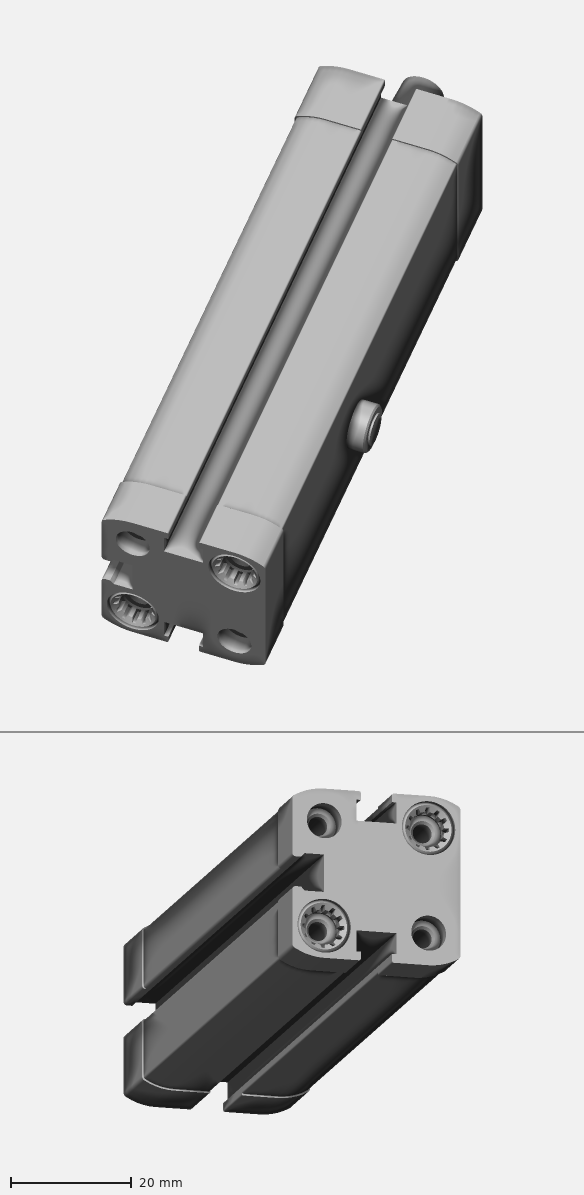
import cadquery as cq
import math


CAP_SIZE = 29.0
CAP_STEP = 0.3
BARREL_SIZE = CAP_SIZE - 2 * CAP_STEP
TOTAL_LENGTH = 113.4
ROD_LENGTH = 10.7
HOUSING_LENGTH = TOTAL_LENGTH - ROD_LENGTH
REAR_CAP_LENGTH = 8.6
FRONT_CAP_LENGTH = 11.3

HOLE_PITCH = 18.0
FLAT_HALF_WIDTH = HOLE_PITCH / 2
CORNER_RADIUS = 10.0
CAP_BLEND = 0.8
BARREL_BLEND = 0.4

SLOT_OPENING = 5.4
SLOT_WIDTH = 6.9
SLOT_DEPTH = 5.1
SLOT_LIP = 1.5
SLOT_BEVEL = 0.0
SLOT_ROUNDING = 0.3
SIDE_SLOT_OPENING = 5.1
SIDE_SLOT_WIDTH = 6.4
SIDE_SLOT_DEPTH = 5.5
SIDE_SLOT_LIP = 1.5
SIDE_SLOT_BEVEL = (SIDE_SLOT_WIDTH - SIDE_SLOT_OPENING) / 2
SIDE_SLOT_ROUNDING = 0.6

THREAD_BORE = 3.24
THREAD_MOUTH = 4.13
MOUNT_BORE = 6.0
MOUNT_DEPTH = 3.5

RECESS_DIAMETER = 9.2
RECESS_DEPTH = 0.9
HEAD_SETBACK = 0.2
HEAD_CREST = 8.0
COUNTERSINK_DEPTH = 0.8
SPLINE_ROOT = 7.3
SPLINE_COUNT = 12
SPLINE_DEPTH = 3.0
SPLINE_MOUTH_WIDTH = 1.0
SPLINE_ROOT_WIDTH = 0.55
SPLINE_OVERLAP = 0.3

ROD_DIAMETER = 8.0
ROD_TIP_DIAMETER = 7.4
ROD_TIP_LENGTH = 4.85
WRENCH_SIZE = 7.0
FLAT_DEPTH = (ROD_DIAMETER - WRENCH_SIZE) / 2
FLAT_LENGTH = 4.9
FLAT_MARGIN = 0.02

STUD_DIAMETER = 8.5
STUD_FACE_DIAMETER = 5.6
TOTAL_WIDTH = 32.25
STUD_REACH = TOTAL_WIDTH - CAP_SIZE / 2
STUD_FACE_HEIGHT = 0.35
STUD_CHAMFER = 0.3
STUD_POSITION = 43.45


def along_y(y):
    """Workplane across the cylinder at position y: local x is X, local y is Z, normal is -Y."""
    return cq.Workplane("XZ", origin=(0, y, 0))


def profile_block(size, radius, blend, y_start, length):
    """Block with flat sides and large rounded corners that are tangent to its top and bottom."""
    half = size / 2
    arc_centre = half - radius
    arc_run = half - FLAT_HALF_WIDTH
    side = arc_centre + math.sqrt(radius**2 - arc_run**2)
    half_angle = (math.pi / 2 - math.acos(arc_run / radius)) / 2
    mid_x = FLAT_HALF_WIDTH + radius * math.sin(half_angle)
    mid_z = arc_centre + radius * math.cos(half_angle)
    return (
        along_y(y_start)
        .moveTo(-FLAT_HALF_WIDTH, half)
        .lineTo(FLAT_HALF_WIDTH, half)
        .threePointArc((mid_x, mid_z), (half, side))
        .lineTo(half, -side)
        .threePointArc((mid_x, -mid_z), (FLAT_HALF_WIDTH, -half))
        .lineTo(-FLAT_HALF_WIDTH, -half)
        .threePointArc((-mid_x, -mid_z), (-half, -side))
        .lineTo(-half, side)
        .threePointArc((-mid_x, mid_z), (-FLAT_HALF_WIDTH, half))
        .close()
        .extrude(-length)
        .edges("|Y and (>X or <X)")
        .fillet(blend)
    )


def slot_cutter(size, opening, width, depth, lip, bevel, rounding):
    """Full-length cutter for a slot in the top of a section, with rounded mouth edges."""
    top = size / 2
    narrow = opening / 2
    wide = width / 2
    bottom = CAP_SIZE / 2 - depth
    ceiling = CAP_SIZE / 2 - lip
    return (
        along_y(0)
        .moveTo(-wide, bottom)
        .lineTo(wide, bottom)
        .lineTo(wide, ceiling - bevel)
        .lineTo(narrow, ceiling)
        .lineTo(narrow, top - rounding)
        .radiusArc((narrow + rounding, top), rounding)
        .lineTo(-narrow - rounding, top)
        .radiusArc((-narrow, top - rounding), rounding)
        .lineTo(-narrow, ceiling)
        .lineTo(-wide, ceiling - bevel)
        .close()
        .extrude(-HOUSING_LENGTH)
    )


def section(size, radius, blend, y_start, length):
    """One stretch of the housing with its three sensor slots."""
    top_slot = slot_cutter(size, SLOT_OPENING, SLOT_WIDTH, SLOT_DEPTH, SLOT_LIP, SLOT_BEVEL, SLOT_ROUNDING)
    side_slot = slot_cutter(
        size, SIDE_SLOT_OPENING, SIDE_SLOT_WIDTH, SIDE_SLOT_DEPTH,
        SIDE_SLOT_LIP, SIDE_SLOT_BEVEL, SIDE_SLOT_ROUNDING,
    ).rotate((0, 0, 0), (0, 1, 0), -90)
    block = profile_block(size, radius, blend, y_start, length)
    return block.cut(top_slot).cut(top_slot.mirror("XY")).cut(side_slot)


def mounting_hole():
    """Stepped hole on the Y axis."""
    bore = along_y(0).circle(MOUNT_BORE / 2).extrude(-MOUNT_DEPTH)
    thread = along_y(0).circle(THREAD_BORE / 2).extrude(-HOUSING_LENGTH)
    mouth_depth = (THREAD_MOUTH - THREAD_BORE) / 2
    mouth = (
        along_y(MOUNT_DEPTH)
        .circle(THREAD_MOUTH / 2)
        .workplane(offset=-mouth_depth)
        .circle(THREAD_BORE / 2)
        .loft()
    )
    return bore.union(thread).union(mouth)


def screw_socket():
    """Everything removed around a mounting hole to leave the rim of a splined screw head."""
    wall = RECESS_DIAMETER / 2
    crest = HEAD_CREST / 2
    recess = (
        cq.Workplane("XY")
        .lineTo(wall, 0)
        .lineTo(wall, RECESS_DEPTH)
        .lineTo(crest, HEAD_SETBACK)
        .lineTo(MOUNT_BORE / 2, HEAD_SETBACK + COUNTERSINK_DEPTH)
        .lineTo(0, HEAD_SETBACK + COUNTERSINK_DEPTH)
        .close()
        .revolve(360, (0, 0, 0), (0, 1, 0))
    )
    root = SPLINE_ROOT / 2
    mouth = MOUNT_BORE / 2 - SPLINE_OVERLAP
    groove = (
        along_y(0)
        .moveTo(mouth, -SPLINE_MOUTH_WIDTH / 2)
        .lineTo(root, -SPLINE_ROOT_WIDTH / 2)
        .lineTo(root, SPLINE_ROOT_WIDTH / 2)
        .lineTo(mouth, SPLINE_MOUTH_WIDTH / 2)
        .close()
        .extrude(-SPLINE_DEPTH)
    )
    socket = recess
    spacing = 360 / SPLINE_COUNT
    for i in range(SPLINE_COUNT):
        socket = socket.union(groove.rotate((0, 0, 0), (0, 1, 0), spacing * i))
    return socket


def stud_disc(x, thickness):
    """Disc of the stud diameter, on the stud axis, standing on the plane at x."""
    return cq.Workplane("YZ", origin=(x, STUD_POSITION, 0)).circle(STUD_DIAMETER / 2).extrude(thickness)


def make_housing():
    front_start = HOUSING_LENGTH - FRONT_CAP_LENGTH
    barrel_length = front_start - REAR_CAP_LENGTH
    body = section(BARREL_SIZE, CORNER_RADIUS - CAP_STEP, BARREL_BLEND, REAR_CAP_LENGTH, barrel_length)
    body = body.union(section(CAP_SIZE, CORNER_RADIUS, CAP_BLEND, 0, REAR_CAP_LENGTH))
    body = body.union(section(CAP_SIZE, CORNER_RADIUS, CAP_BLEND, front_start, FRONT_CAP_LENGTH))
    body = body.union(stud_disc(BARREL_SIZE / 2, CAP_STEP))

    hole = mounting_hole()
    socket = screw_socket()
    for x_side in (-1, 1):
        for z_side in (-1, 1):
            place = (x_side * HOLE_PITCH / 2, 0, z_side * HOLE_PITCH / 2)
            body = body.cut(hole.translate(place))
            if x_side == z_side:
                body = body.cut(socket.translate(place))
    return body


def make_rod():
    radius = ROD_DIAMETER / 2
    taper_start = TOTAL_LENGTH - ROD_TIP_LENGTH
    rod = (
        cq.Workplane("XY")
        .moveTo(0, HOUSING_LENGTH)
        .lineTo(radius, HOUSING_LENGTH)
        .lineTo(radius, taper_start)
        .lineTo(ROD_TIP_DIAMETER / 2, TOTAL_LENGTH)
        .lineTo(0, TOTAL_LENGTH)
        .close()
        .revolve(360, (0, 0, 0), (0, 1, 0))
    )
    flat_start = taper_start - FLAT_MARGIN
    flat_end = flat_start - FLAT_LENGTH
    flat = (
        cq.Workplane("XY")
        .moveTo(radius + FLAT_DEPTH, flat_start + FLAT_DEPTH)
        .lineTo(radius - FLAT_DEPTH, flat_start - FLAT_DEPTH)
        .lineTo(radius - FLAT_DEPTH, flat_end + FLAT_DEPTH)
        .lineTo(radius + FLAT_DEPTH, flat_end - FLAT_DEPTH)
        .close()
        .extrude(radius, both=True)
    )
    return rod.cut(flat).cut(flat.mirror("YZ"))


def make_stud():
    base = CAP_SIZE / 2
    shoulder = STUD_REACH - STUD_FACE_HEIGHT
    return (
        stud_disc(base, shoulder - base)
        .faces(">X")
        .chamfer(STUD_CHAMFER)
        .faces(">X")
        .workplane()
        .circle(STUD_FACE_DIAMETER / 2)
        .extrude(STUD_FACE_HEIGHT)
    )


housing = make_housing()
rod = make_rod()
stud = make_stud()

result = cq.Compound.makeCompound([housing.val(), rod.val(), stud.val()])